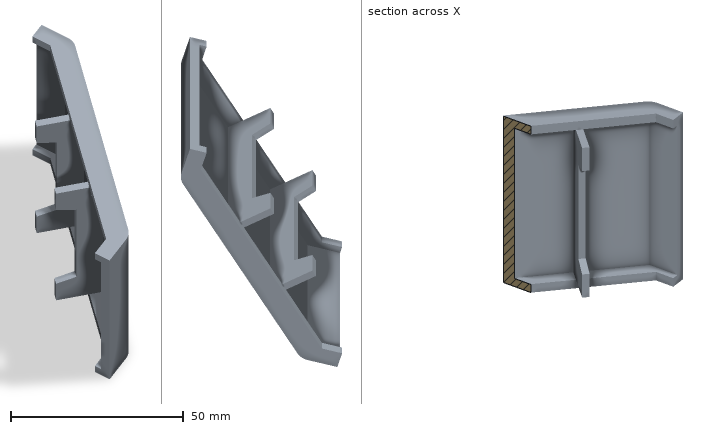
import cadquery as cq
import math

side = 62.0
height = 57.0

end_depth = 5.0
tray_depth = 7.0
outer_corner = 11.0
corner_radius = 5.0
wall = 2.9

rib_thickness = 2.2
rib_height = 14.0
rib_waist_height = 8.0
rib_spacing = 25.0
rib_shift = 1.05
rib_end_length = 7.95
rib_slope_length = 1.55
rib_root = wall / 2

diagonal = math.sqrt(2)
bend_angle = 45.0
bend_factor = math.tan(math.radians(bend_angle / 2))


def leg_length(depth):
    """Leg length, from the open end to the bend, on the outline a given depth inside the outer face."""
    return outer_corner - depth * bend_factor


def lip_leg_length():
    """Leg length along the lip, whose depth differs between the legs and the diagonal."""
    return outer_corner - tray_depth * diagonal + end_depth


def make_body():
    lip_leg = lip_leg_length()
    lip = side - end_depth
    outline = [
        (0, side),
        (outer_corner, side),
        (side, outer_corner),
        (side, 0),
        (lip, 0),
        (lip, lip_leg),
        (lip_leg, lip),
        (0, lip),
    ]
    body = cq.Workplane("XY").polyline(outline).close().extrude(height / 2, both=True)
    for corner in ((outer_corner, side, 0), (side, outer_corner, 0)):
        body = body.edges(cq.selectors.NearestToPointSelector(corner)).fillet(corner_radius)
    return body


def make_cavity():
    leg = leg_length(wall)
    inside = side - wall
    outline = [(0, 0), (0, inside), (leg, inside), (inside, leg), (inside, 0)]
    return cq.Workplane("XY").polyline(outline).close().extrude(height / 2 - wall, both=True)


def make_rib(offset):
    """Rib with a lowered waist; offset runs along the diagonal floor from its middle."""
    floor_middle = (side + outer_corner - wall * diagonal) / 2
    origin = (
        floor_middle + offset / diagonal,
        floor_middle - offset / diagonal,
        0,
    )
    plane = cq.Plane(origin=origin, xDir=(-1, -1, 0), normal=(-1, 1, 0))
    half_length = height / 2 - wall
    slope_start = half_length - rib_end_length
    waist_end = slope_start - rib_slope_length
    profile = [
        (-rib_root, -half_length),
        (rib_height, -half_length),
        (rib_height, -slope_start),
        (rib_waist_height, -waist_end),
        (rib_waist_height, waist_end),
        (rib_height, slope_start),
        (rib_height, half_length),
        (-rib_root, half_length),
    ]
    return cq.Workplane(plane).polyline(profile).close().extrude(rib_thickness / 2, both=True)


result = make_body().cut(make_cavity())
for direction in (-1, 1):
    result = result.union(make_rib(rib_shift + direction * rib_spacing / 2))